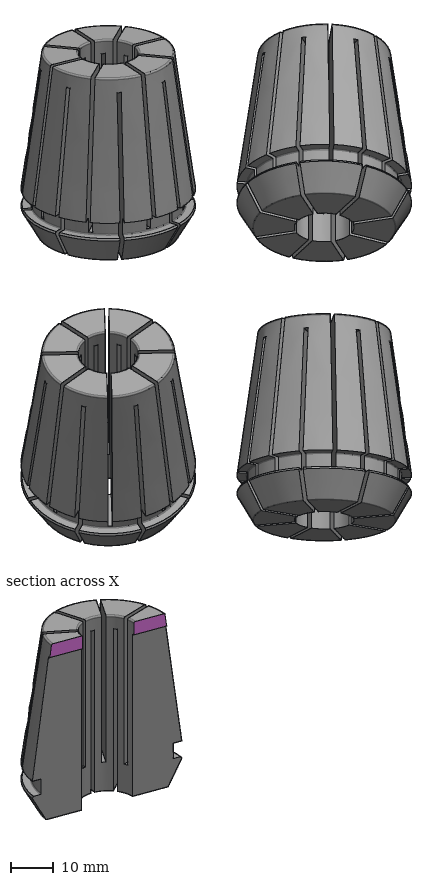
import cadquery as cq
import math

height = 46.0
max_diameter = 41.0
bore_diameter = 14.0

taper_half_angle = 8.0
taper_bottom = 11.05
top_edge_fillet = 0.45
bore_mouth_fillet = 0.4

groove_diameter = 36.25
groove_bottom = 7.05
groove_corner_fillet = 0.2
nose_edge_chamfer_height = 0.5
nose_edge_chamfer_width = 0.28
nose_half_angle = 30.0
nose_bottom_fillet = 0.2

slot_width = 1.0
slots_per_end = 8
floor_above_groove_bottom = 0.5
roof_below_top_face = 3.55

max_radius = max_diameter / 2
slot_pitch = 360 / slots_per_end
top_slot_floor = groove_bottom + floor_above_groove_bottom
bottom_slot_roof = height - roof_below_top_face


def collet_body():
    """Solid of revolution: nose, groove and long taper."""
    nose_edge = groove_bottom - nose_edge_chamfer_height
    nose_bottom_radius = max_radius - nose_edge * math.tan(math.radians(nose_half_angle))
    taper_height = height - taper_bottom
    taper_top_radius = max_radius - taper_height * math.tan(math.radians(taper_half_angle))
    groove_radius = groove_diameter / 2

    profile = (
        cq.Workplane("XZ")
        .moveTo(0, 0)
        .lineTo(nose_bottom_radius, 0)
        .lineTo(max_radius, nose_edge)
        .lineTo(max_radius - nose_edge_chamfer_width, groove_bottom)
        .lineTo(groove_radius, groove_bottom)
        .lineTo(groove_radius, taper_bottom)
        .lineTo(max_radius, taper_bottom)
        .lineTo(taper_top_radius, height)
        .lineTo(0, height)
        .close()
    )
    body = profile.revolve(360, (0, 0, 0), (0, 1, 0))
    body = body.faces(">Z").edges().fillet(top_edge_fillet)
    body = body.faces("<Z").edges().fillet(nose_bottom_fillet)
    return body.faces("%CYLINDER").edges("%CIRCLE").fillet(groove_corner_fillet)


def add_bore(body):
    """Through bore with a rounded mouth at the top."""
    bored = body.faces(">Z").workplane().circle(bore_diameter / 2).cutThruAll()
    mouth = bored.faces(">Z").edges(cq.selectors.RadiusNthSelector(0))
    return mouth.fillet(bore_mouth_fillet)


def slot_cutters(low, high, first_angle):
    """Radial slots between two heights, evenly spaced around the axis."""
    blade = cq.Workplane("XY").box(
        max_diameter, slot_width, high - low, centered=(False, True, False)
    )
    cutters = cq.Workplane("XY")
    for index in range(slots_per_end):
        angle = first_angle + index * slot_pitch
        placed = blade.rotate((0, 0, 0), (0, 0, 1), angle).translate((0, 0, low))
        cutters = cutters.add(placed)
    return cutters.combine()


bottom_slots = slot_cutters(0, bottom_slot_roof, 0)
top_slots = slot_cutters(top_slot_floor, height, slot_pitch / 2)
result = add_bore(collet_body()).cut(bottom_slots).cut(top_slots)